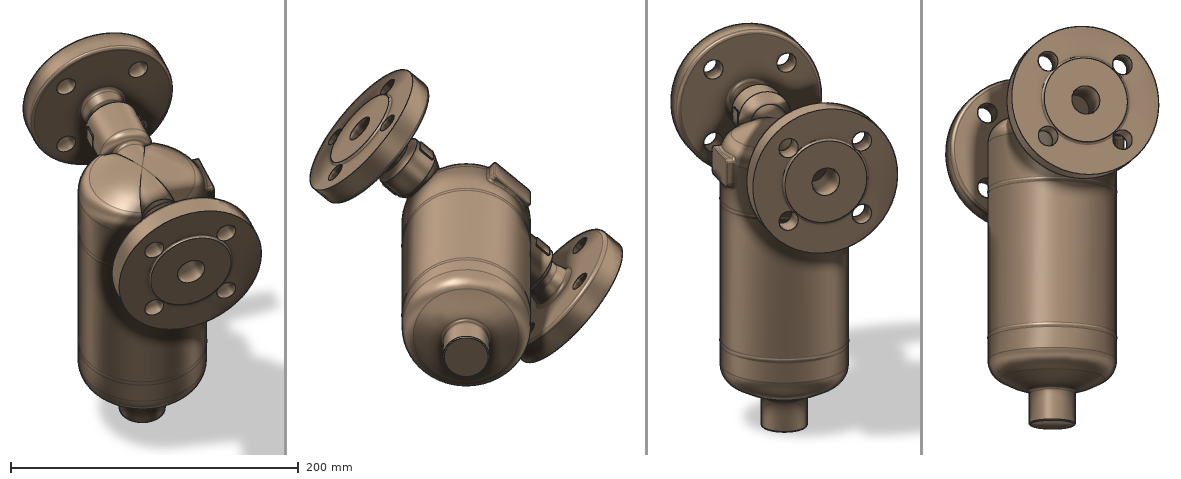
import cadquery as cq
import math


VESSEL_RADIUS = 44.5
PIPE_RADIUS = 13.0
CAP_TOP_Z = PIPE_RADIUS
BOTTOM_EDGE_Z = -164.3
CROWN_RADIUS = 73.0
KNUCKLE_RADIUS = 15.8

BEAD_WIDTH = 3.2
BEAD_HEIGHT = 0.3
UPPER_BEAD_Z = -44.5
LOWER_BEAD_Z = -148.0

SPOUT_RADIUS = 32.0 / 2
SPOUT_BOTTOM_Z = -210.0
SPOUT_FILLET = 2.4
SPOUT_CHAMFER = 0.8

FLANGE_RADIUS = 105 / 2
FACE_X = 202 / 2
RAISED_FACE_HEIGHT = 1.5
RAISED_FACE_RADIUS = 29.7
FLANGE_THICKNESS = 16.5
FLANGE_EDGE_FILLET = 2.4
FLANGE_OUTER_X = FACE_X - RAISED_FACE_HEIGHT
FLANGE_INNER_X = FLANGE_OUTER_X - FLANGE_THICKNESS
BOLT_DIAMETER = 14.0
BOLT_CIRCLE_DIAMETER = 75.0
BOLT_COUNT = 4
BORE_DIAMETER = 20.0
BORE_DEPTH = 32.8

NECK_RADIUS = 27.3 / 2
NECK_TAPER_START_X = 73.2
NECK_TAPER_END_X = 80.3
NECK_TAPER_RADIUS = 15.5
NECK_ROOT_RADIUS = 18.0
NECK_ROOT_FILLET = 3.0

SOCKET_RADIUS = 38.0 / 2
SOCKET_END_X = 68.2
SOCKET_SHOULDER_X = 64.3
LEFT_SOCKET_ROUND_X = 34.5
LEFT_SOCKET_ROUND = 8.0
LEFT_SOCKET_FILLET = 3.5
RIGHT_CONE_START_X = 36.8
RIGHT_CONE_END_X = 47.2

PAD_X = 55.0
PAD_LENGTH = 12.5
PAD_HEIGHT = 11.5
PAD_CORNER = 1.5
PAD_FACE_Y = 19.2

PLATE_WIDTH = 35.0
PLATE_FACE_Y = 47.2
PLATE_TOP_Z = -5.8
PLATE_BOTTOM_Z = -26.8
PLATE_CORNER = 3.2
PLATE_EDGE_FILLET = 0.8
PLATE_ROOT_FILLET = 2.0
PLATE_SEARCH_MARGIN = 1.3

HEAD_ANGLE = math.asin((VESSEL_RADIUS - KNUCKLE_RADIUS) / (CROWN_RADIUS - KNUCKLE_RADIUS))
HEAD_HEIGHT = CROWN_RADIUS - (CROWN_RADIUS - KNUCKLE_RADIUS) * math.cos(HEAD_ANGLE)


def make_head(edge_z, direction):
    """Domed end on the edge at edge_z, bulging up (direction 1) or down (direction -1)."""
    knuckle_centre_radius = VESSEL_RADIUS - KNUCKLE_RADIUS
    crown_centre_z = edge_z + direction * (HEAD_HEIGHT - CROWN_RADIUS)

    def on_crown(angle):
        return (CROWN_RADIUS * math.sin(angle), crown_centre_z + direction * CROWN_RADIUS * math.cos(angle))

    knuckle_angle = (math.pi / 2 + HEAD_ANGLE) / 2
    knuckle_middle = (
        knuckle_centre_radius + KNUCKLE_RADIUS * math.sin(knuckle_angle),
        edge_z + direction * KNUCKLE_RADIUS * math.cos(knuckle_angle),
    )
    return (
        cq.Workplane("XZ")
        .moveTo(0, edge_z)
        .lineTo(VESSEL_RADIUS, edge_z)
        .threePointArc(knuckle_middle, on_crown(HEAD_ANGLE))
        .threePointArc(on_crown(HEAD_ANGLE / 2), on_crown(0))
        .close()
        .revolve(360, (0, 0, 0), (0, 1, 0))
    )


def make_plate():
    """Plate with rounded corners, reaching from the vessel axis to its outer face."""
    return (
        cq.Workplane("XY", origin=(0, 0, PLATE_BOTTOM_Z))
        .center(0, PLATE_FACE_Y / 2)
        .rect(PLATE_WIDTH, PLATE_FACE_Y)
        .extrude(PLATE_TOP_Z - PLATE_BOTTOM_Z)
        .edges("|Y")
        .fillet(PLATE_CORNER)
        .faces(">Y")
        .edges()
        .fillet(PLATE_EDGE_FILLET)
    )


def make_vessel():
    cap_edge_z = CAP_TOP_Z - HEAD_HEIGHT
    shell = (
        cq.Workplane("XY", origin=(0, 0, BOTTOM_EDGE_Z))
        .circle(VESSEL_RADIUS)
        .extrude(cap_edge_z - BOTTOM_EDGE_Z)
    )
    spout = (
        cq.Workplane("XY", origin=(0, 0, SPOUT_BOTTOM_Z))
        .circle(SPOUT_RADIUS)
        .extrude(BOTTOM_EDGE_Z - SPOUT_BOTTOM_Z)
        .faces("<Z")
        .chamfer(SPOUT_CHAMFER)
    )
    vessel = shell.union(make_head(cap_edge_z, 1)).union(make_head(BOTTOM_EDGE_Z, -1)).union(spout)
    crown_drop = math.sqrt(CROWN_RADIUS**2 - SPOUT_RADIUS**2) - CROWN_RADIUS + HEAD_HEIGHT
    spout_joint = cq.selectors.NearestToPointSelector((0, 0, BOTTOM_EDGE_Z - crown_drop))
    vessel = vessel.edges(spout_joint).fillet(SPOUT_FILLET).union(make_plate())
    plate_joint = cq.selectors.BoxSelector(
        (-PLATE_WIDTH, VESSEL_RADIUS / 2, PLATE_BOTTOM_Z - PLATE_SEARCH_MARGIN),
        (PLATE_WIDTH, VESSEL_RADIUS + PLATE_SEARCH_MARGIN, PLATE_TOP_Z + PLATE_SEARCH_MARGIN),
        boundingbox=True,
    )
    return vessel.edges(plate_joint).fillet(PLATE_ROOT_FILLET)


def make_bead(z):
    """Shallow rounded ring around the shell."""
    half = BEAD_WIDTH / 2
    return (
        cq.Workplane("XZ")
        .moveTo(VESSEL_RADIUS / 2, z - half)
        .lineTo(VESSEL_RADIUS, z - half)
        .threePointArc((VESSEL_RADIUS + BEAD_HEIGHT, z), (VESSEL_RADIUS, z + half))
        .lineTo(VESSEL_RADIUS / 2, z + half)
        .close()
        .revolve(360, (0, 0, 0), (0, 1, 0))
    )


def revolve_about_pipe(profile):
    return profile.close().revolve(360, (0, 0, 0), (1, 0, 0))


def make_flange():
    """Flange, neck and socket shoulder on the +X side."""
    body = revolve_about_pipe(
        cq.Workplane("XZ")
        .moveTo(SOCKET_SHOULDER_X, 0)
        .lineTo(SOCKET_SHOULDER_X, SOCKET_RADIUS)
        .lineTo(SOCKET_END_X, NECK_RADIUS)
        .lineTo(NECK_TAPER_START_X, NECK_RADIUS)
        .lineTo(NECK_TAPER_END_X, NECK_TAPER_RADIUS)
        .radiusArc((FLANGE_INNER_X, NECK_ROOT_RADIUS), -NECK_ROOT_FILLET)
        .lineTo(FLANGE_INNER_X, FLANGE_RADIUS - FLANGE_EDGE_FILLET)
        .radiusArc((FLANGE_INNER_X + FLANGE_EDGE_FILLET, FLANGE_RADIUS), FLANGE_EDGE_FILLET)
        .lineTo(FLANGE_OUTER_X, FLANGE_RADIUS)
        .lineTo(FLANGE_OUTER_X, RAISED_FACE_RADIUS + RAISED_FACE_HEIGHT)
        .radiusArc((FACE_X, RAISED_FACE_RADIUS), -RAISED_FACE_HEIGHT)
        .lineTo(FACE_X, 0)
    )
    bolt_holes = (
        cq.Workplane("YZ", origin=(FLANGE_INNER_X, 0, 0))
        .polarArray(BOLT_CIRCLE_DIAMETER / 2, 360 / BOLT_COUNT / 2, 360, BOLT_COUNT)
        .circle(BOLT_DIAMETER / 2)
        .extrude(FACE_X - FLANGE_INNER_X)
    )
    bore = cq.Workplane("YZ", origin=(FACE_X, 0, 0)).circle(BORE_DIAMETER / 2).extrude(-BORE_DEPTH)
    return body.cut(bolt_holes).cut(bore)


def make_pipe():
    """Pipe core through the vessel cap, with the two sockets."""
    round_centre_height = SOCKET_RADIUS - LEFT_SOCKET_ROUND
    rise = PIPE_RADIUS + LEFT_SOCKET_FILLET - round_centre_height
    run = math.sqrt((LEFT_SOCKET_ROUND + LEFT_SOCKET_FILLET) ** 2 - rise**2)
    share = LEFT_SOCKET_ROUND / (LEFT_SOCKET_ROUND + LEFT_SOCKET_FILLET)
    tangent_point = (share * run - LEFT_SOCKET_ROUND_X, round_centre_height + share * rise)
    fillet_end = (run - LEFT_SOCKET_ROUND_X, PIPE_RADIUS)
    return revolve_about_pipe(
        cq.Workplane("XZ")
        .moveTo(-SOCKET_SHOULDER_X, 0)
        .lineTo(-SOCKET_SHOULDER_X, SOCKET_RADIUS)
        .lineTo(-LEFT_SOCKET_ROUND_X, SOCKET_RADIUS)
        .radiusArc(tangent_point, LEFT_SOCKET_ROUND)
        .radiusArc(fillet_end, -LEFT_SOCKET_FILLET)
        .lineTo(RIGHT_CONE_START_X, PIPE_RADIUS)
        .lineTo(RIGHT_CONE_END_X, SOCKET_RADIUS)
        .lineTo(SOCKET_SHOULDER_X, SOCKET_RADIUS)
        .lineTo(SOCKET_SHOULDER_X, 0)
    )


def make_pads(x):
    """Block through the socket that leaves one flat pad in front and one behind."""
    return (
        cq.Workplane("XY", origin=(x, 0, 0))
        .box(PAD_LENGTH, 2 * PAD_FACE_Y, PAD_HEIGHT)
        .edges("|Y")
        .fillet(PAD_CORNER)
    )


flange = make_flange()
result = make_vessel().union(make_pipe())
for bead_z in (UPPER_BEAD_Z, LOWER_BEAD_Z):
    result = result.union(make_bead(bead_z))
result = result.union(flange).union(flange.mirror("YZ"))
for pad_x in (-PAD_X, PAD_X):
    result = result.union(make_pads(pad_x))